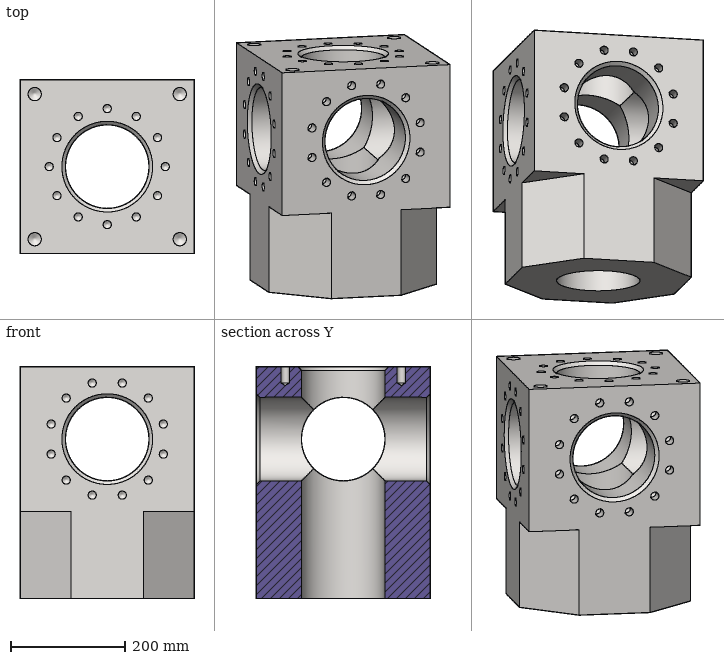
import cadquery as cq
import math

width = 305.0
total_height = 406.5
head_height = 254.0
column_height = total_height - head_height
bore_axis_z = column_height + head_height / 2

bore_diameter = 146.0
chamfer_diameter = 159.0
chamfer_depth = (chamfer_diameter - bore_diameter) / 2

bolt_count = 12
bolt_circle_radius = 101.5
bolt_diameter = 14.2
bolt_depth = 2 * bolt_diameter
corner_diameter = 23.0
corner_depth = 2 * corner_diameter
corner_spacing = 254.0
corner_offset = corner_spacing / 2
drill_point_angle = 118.0


def drill(diameter, depth):
    """Drill-shaped cutter entering at the origin and pointing along -Z."""
    radius = diameter / 2
    tip_length = radius / math.tan(math.radians(drill_point_angle / 2))
    profile = [(0, 0), (radius, 0), (radius, -depth), (0, -depth - tip_length)]
    return cq.Workplane("XZ").polyline(profile).close().revolve(360, (0, 0), (0, 1))


def bore_mouth():
    """Conical cutter that chamfers a bore opening at the origin, along -Z."""
    outer = chamfer_diameter / 2
    inner = bore_diameter / 2
    profile = [(0, 0), (outer, 0), (inner, -chamfer_depth), (0, -chamfer_depth)]
    return cq.Workplane("XZ").polyline(profile).close().revolve(360, (0, 0), (0, 1))


def port(start_angle):
    """Chamfer and bolt circle of one port, in the plane Z = 0, cutting along -Z."""
    cutters = bore_mouth()
    hole = drill(bolt_diameter, bolt_depth).translate((bolt_circle_radius, 0, 0))
    for index in range(bolt_count):
        angle = start_angle + index * 360 / bolt_count
        cutters.add(hole.rotate((0, 0, 0), (0, 0, 1), angle))
    return cutters.combine()


octagon_sides = 8
half_side_angle = 180 / octagon_sides
octagon_circle = width / math.cos(math.radians(half_side_angle))
column = (
    cq.Workplane("XY")
    .polygon(octagon_sides, octagon_circle)
    .extrude(column_height)
    .rotate((0, 0, 0), (0, 0, 1), half_side_angle)
)
head = cq.Workplane("XY", origin=(0, 0, bore_axis_z)).box(width, width, head_height)
body = column.union(head)

vertical_bore = cq.Workplane("XY").circle(bore_diameter / 2).extrude(total_height)
body = body.cut(vertical_bore)
for plane in ("XZ", "YZ"):
    cross_bore = (
        cq.Workplane(plane, origin=(0, 0, bore_axis_z))
        .circle(bore_diameter / 2)
        .extrude(width / 2, both=True)
    )
    body = body.cut(cross_bore)

body = body.cut(port(0).translate((0, 0, total_height)))

half_pitch = 180 / bolt_count
side_port = (
    port(half_pitch)
    .translate((0, 0, width / 2))
    .rotate((0, 0, 0), (0, 1, 0), 90)
    .translate((0, 0, bore_axis_z))
)
for side_angle in (0, 90, 180, 270):
    body = body.cut(side_port.rotate((0, 0, 0), (0, 0, 1), side_angle))

corner_hole = drill(corner_diameter, corner_depth)
for x in (-corner_offset, corner_offset):
    for y in (-corner_offset, corner_offset):
        body = body.cut(corner_hole.translate((x, y, total_height)))

result = body